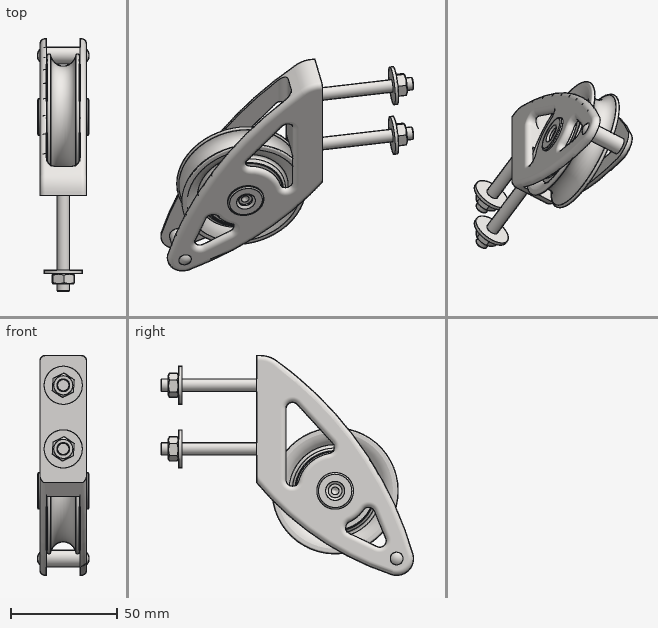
import math

import cadquery as cq


body_width = 22.0
slot_width = 15.8
edge_radius = 2.5
mount_y = -37.0
mount_top_z = 63.85
mount_bottom_z = 3.85
shoulder_radius = 12.75
shoulder_start_y = -35.2
shoulder_sweep = math.radians(39.5)
tip_y = 29.0
tip_z = -31.9
tip_radius = 8.0
tip_back_angle = math.radians(13.0)
tip_front_angle = math.radians(-105.5)
back_sagitta = 9.3
lower_sagitta = 5.4
slot_end_y = -23.2
slot_corner_radius = 4.0
sheave_pocket_radius = 31.25

window_corner_radius = 3.0
upper_window_arc_radius = 20.8
upper_window_angles = (99.5, 165.5)
upper_window_corner = (-20.1, 38.7)
lower_window_arc_radius = 19.1
lower_window_angles = (-34.4, -65.3)
lower_window_corner = (21.0, -23.5)

sheave_radius = 29.75
sheave_half_width = 7.6
rope_radius = 5.9
rope_center_radius = 30.0
rim_inner_radius = 27.4
dish_mid = (6.2, 24.1)
dish_bottom = (4.0, 21.8)
hub_flank_mid = (4.3, 20.8)
hub_flank_end = (5.2, 20.2)
hub_ring_outer_radius = 19.0
hub_ring_half_width = 6.6
hub_ring_inner_radius = 37.0 / 2
hub_recess_half_width = 6.0
hub_radius = 26.6 / 2

spacer_diameter = 15.0
cap_diameter = 17.3
cap_face_half_width = 12.15
cap_chamfer = 0.8
cap_chamfer_height = 0.4
socket_lip_diameter = 9.0
socket_diameter = 6.5
socket_lip_depth = 1.0
socket_depth = 2.0
center_pit_diameter = 3.6
center_pit_depth = 1.0

pin_diameter = 8.0
pin_head_diameter = 6.0
overall_width = 24.5

bolt_diameter = 6.0
bolt_heights = (19.8, 49.8)
bolt_length = 45.16
bolt_chamfer = 0.35
washer_diameter = 18.0
washer_thickness = 1.6
washer_standoff = 35.2
washer_y = mount_y - washer_standoff
nut_across_flats = 10.0
nut_height = 5.0
nut_turn = 4.0
nut_end_diameter = 9.0
nut_chamfer_angle = math.radians(30)


def polar(radius, angle):
    """Point (Y, Z) at a radius and an angle in radians."""
    return (radius * math.cos(angle), radius * math.sin(angle))


def x_cylinder(diameter, length, y=0.0, z=0.0):
    """Cylinder along X, centred on the X = 0 plane."""
    return cq.Workplane("YZ", origin=(-length / 2, y, z)).circle(diameter / 2).extrude(length)


def y_cylinder(diameter, start_y, length, z):
    """Cylinder that runs from start_y toward -Y."""
    return cq.Workplane("XZ", origin=(0, start_y, z)).circle(diameter / 2).extrude(length)


def make_outline():
    shoulder_center_z = mount_top_z - shoulder_radius

    def shoulder_point(angle):
        return (
            shoulder_start_y + shoulder_radius * math.sin(angle),
            shoulder_center_z + shoulder_radius * math.cos(angle),
        )

    def tip_point(angle):
        y, z = polar(tip_radius, angle)
        return (tip_y + y, tip_z + z)

    tip_mid_angle = (tip_back_angle + tip_front_angle) / 2
    return (
        cq.Workplane("YZ", origin=(-body_width / 2, 0, 0))
        .moveTo(mount_y, mount_bottom_z)
        .lineTo(mount_y, mount_top_z)
        .lineTo(shoulder_start_y, mount_top_z)
        .threePointArc(shoulder_point(shoulder_sweep / 2), shoulder_point(shoulder_sweep))
        .sagittaArc(tip_point(tip_back_angle), back_sagitta)
        .threePointArc(tip_point(tip_mid_angle), tip_point(tip_front_angle))
        .sagittaArc((mount_y, mount_bottom_z), lower_sagitta)
        .close()
    )


def make_window(arc_radius, angles, corner):
    start, end = (math.radians(angle) for angle in angles)
    return (
        cq.Workplane("YZ", origin=(-body_width, 0, 0))
        .moveTo(*corner)
        .lineTo(*polar(arc_radius, start))
        .threePointArc(polar(arc_radius, (start + end) / 2), polar(arc_radius, end))
        .close()
        .offset2D(window_corner_radius, "arc")
        .extrude(2 * body_width)
    )


def make_slot():
    """Gap between the side plates, with a round pocket where the sheave enters the block."""
    slot_length = tip_y + 2 * tip_radius - slot_end_y
    slot_height = 4 * mount_top_z
    slot = (
        cq.Workplane("XY")
        .box(slot_width, slot_length, slot_height)
        .edges("|Z and <Y")
        .fillet(slot_corner_radius)
        .translate((0, slot_end_y + slot_length / 2, 0))
    )
    return slot.union(x_cylinder(2 * sheave_pocket_radius, slot_width))


def make_housing():
    body = make_outline().extrude(body_width)
    body = body.cut(make_window(upper_window_arc_radius, upper_window_angles, upper_window_corner))
    body = body.cut(make_window(lower_window_arc_radius, lower_window_angles, lower_window_corner))
    rounded_edges = body.faces("<X or >X").edges("not <Y")
    body = rounded_edges.fillet(edge_radius)
    axle_bore = x_cylinder(spacer_diameter, body_width)
    return body.cut(make_slot()).cut(axle_bore)


def make_sheave():
    rim_round_radius = (sheave_half_width - rope_radius) / 2
    rim_round_center_x = sheave_half_width - rim_round_radius
    rim_round_start = sheave_radius - rim_round_radius
    half = (
        cq.Workplane("XY")
        .lineTo(sheave_half_width, 0)
        .lineTo(sheave_half_width, hub_radius)
        .lineTo(hub_recess_half_width, hub_radius)
        .lineTo(hub_recess_half_width, hub_ring_inner_radius)
        .lineTo(hub_ring_half_width, hub_ring_inner_radius)
        .lineTo(hub_ring_half_width, hub_ring_outer_radius)
        .lineTo(*hub_flank_end)
        .threePointArc(hub_flank_mid, dish_bottom)
        .threePointArc(dish_mid, (sheave_half_width, rim_inner_radius))
        .lineTo(sheave_half_width, rim_round_start)
        .threePointArc((rim_round_center_x, sheave_radius), (rope_radius, rim_round_start))
        .lineTo(0, rim_round_start)
        .close()
        .revolve(360, (0, 0, 0), (1, 0, 0))
    )
    groove = (
        cq.Workplane("XY")
        .center(0, rope_center_radius)
        .circle(rope_radius)
        .revolve(360, (0, -rope_center_radius, 0), (1, -rope_center_radius, 0))
    )
    return half.union(half.mirror("YZ")).cut(groove)


def make_axle():
    """Axle with chamfered end caps; each cap has a flared socket ending in a conical pit."""
    floor_x = cap_face_half_width - socket_depth
    half = (
        cq.Workplane("XY")
        .lineTo(0, spacer_diameter / 2)
        .lineTo(body_width / 2, spacer_diameter / 2)
        .lineTo(body_width / 2, cap_diameter / 2)
        .lineTo(cap_face_half_width - cap_chamfer_height, cap_diameter / 2)
        .lineTo(cap_face_half_width, cap_diameter / 2 - cap_chamfer)
        .lineTo(cap_face_half_width, socket_lip_diameter / 2)
        .lineTo(cap_face_half_width - socket_lip_depth, socket_diameter / 2)
        .lineTo(floor_x, socket_diameter / 2)
        .lineTo(floor_x, center_pit_diameter / 2)
        .lineTo(floor_x - center_pit_depth, 0)
        .close()
        .revolve(360, (0, 0, 0), (1, 0, 0))
    )
    return half.union(half.mirror("YZ"))


def make_pin():
    """Pin across the tip with a domed head on each side plate."""
    side_x = body_width / 2
    dome_height = overall_width / 2 - side_x
    dome_rim_angle = 2 * math.atan(2 * dome_height / pin_head_diameter)
    dome_radius = pin_head_diameter / 2 / math.sin(dome_rim_angle)
    dome_half = (
        cq.Workplane("XY")
        .lineTo(0, pin_head_diameter / 2)
        .lineTo(side_x, pin_head_diameter / 2)
        .radiusArc((overall_width / 2, 0), dome_radius)
        .close()
        .revolve(360, (0, 0, 0), (1, 0, 0))
    )
    heads = dome_half.union(dome_half.mirror("YZ")).translate((0, tip_y, tip_z))
    return x_cylinder(pin_diameter, slot_width, tip_y, tip_z).union(heads)


def make_nut(start_y, z):
    """Hexagon nut with conically chamfered corners on both ends."""
    across_corners = nut_across_flats / math.cos(math.radians(30))
    corner_radius = across_corners / 2
    end_radius = nut_end_diameter / 2
    chamfer_height = (corner_radius - end_radius) * math.tan(nut_chamfer_angle)
    hexagon = (
        cq.Workplane("XZ")
        .transformed(rotate=(0, 0, 90 - nut_turn))
        .polygon(6, across_corners)
        .extrude(nut_height)
    )
    envelope = (
        cq.Workplane("XY")
        .lineTo(end_radius, 0)
        .lineTo(corner_radius, -chamfer_height)
        .lineTo(corner_radius, chamfer_height - nut_height)
        .lineTo(end_radius, -nut_height)
        .lineTo(0, -nut_height)
        .close()
        .revolve(360, (0, 0, 0), (0, 1, 0))
    )
    return hexagon.intersect(envelope).translate((0, start_y, z))


def make_bolt(z):
    bolt = y_cylinder(bolt_diameter, mount_y, bolt_length, z).faces("<Y").chamfer(bolt_chamfer)
    washer = y_cylinder(washer_diameter, washer_y, washer_thickness, z)
    return bolt.union(washer).union(make_nut(washer_y - washer_thickness, z))


result = make_housing().union(make_sheave()).union(make_axle()).union(make_pin())
for bolt_z in bolt_heights:
    result = result.union(make_bolt(bolt_z))